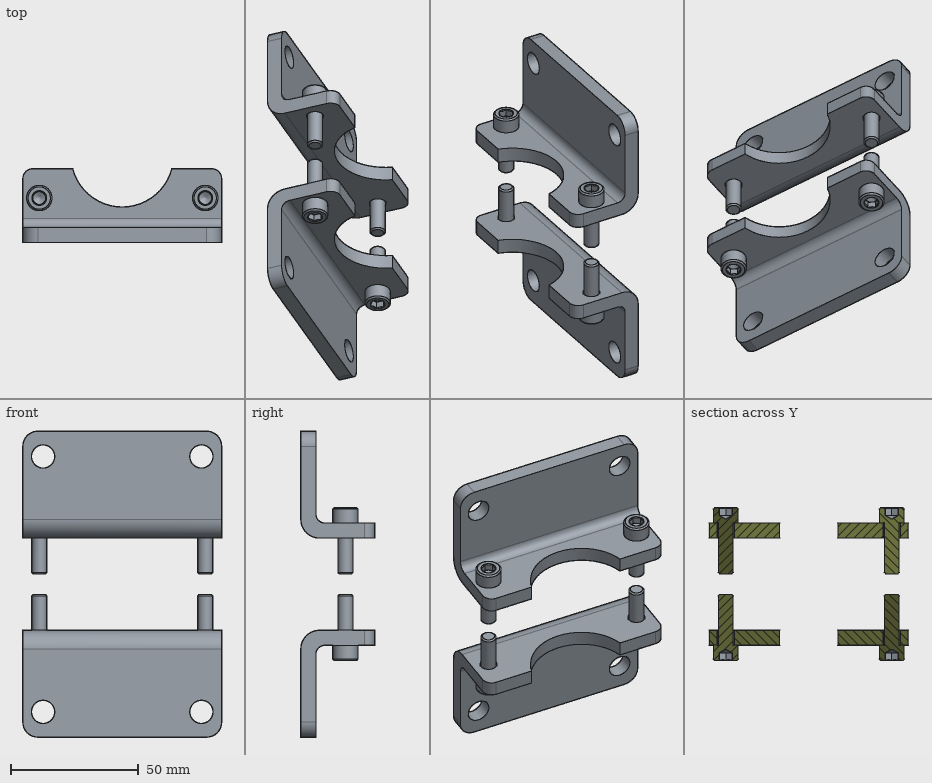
import cadquery as cq
import math

WIDTH = 78.0
DEPTH = 29.0
HEIGHT = 120.0
THICKNESS = 6.0
BRACKET_HEIGHT = 42.0

OUTER_BEND_RADIUS = 7.5
INNER_BEND_RADIUS = 3.5
WALL_CORNER_RADIUS = 6.0
FLANGE_CORNER_RADIUS = 4.0

MOUNT_HOLE_DIAMETER = 9.0
MOUNT_HOLE_SPACING = 62.0
MOUNT_HOLE_TO_EDGE = 10.0

CUTOUT_RADIUS = 20.0
CUTOUT_DEPTH = 15.0

BOLT_SPACING = 65.0
BOLT_TO_BACK = 11.5
CLEARANCE_DIAMETER = 6.6
SHANK_DIAMETER = 6.0
SHANK_LENGTH = 20.0
TIP_CHAMFER = 0.6
HEAD_DIAMETER = 10.0
HEAD_HEIGHT = 6.0
HEAD_CHAMFER = 0.6

SOCKET_SIDES = 6
SOCKET_HALF_ANGLE = 180 / SOCKET_SIDES
SOCKET_FLATS = 5.0
SOCKET_DEPTH = 3.0
SOCKET_CONE_DEPTH = 1.5
COUNTERSINK_DEPTH = 0.42

FLANGE_FACE_Z = HEIGHT / 2 - BRACKET_HEIGHT
HEAD_SEAT_Z = FLANGE_FACE_Z + THICKNESS
MOUNT_HOLE_Z = HEIGHT / 2 - MOUNT_HOLE_TO_EDGE
BOLT_Y = DEPTH - BOLT_TO_BACK
CUTOUT_CENTER_Y = DEPTH - CUTOUT_DEPTH + CUTOUT_RADIUS
BOLT_XS = (-BOLT_SPACING / 2, BOLT_SPACING / 2)
MOUNT_HOLE_XS = (-MOUNT_HOLE_SPACING / 2, MOUNT_HOLE_SPACING / 2)


def make_blank():
    """Bent L-shaped sheet with rounded free corners, wall pointing up."""
    wall = cq.Workplane("XY").box(WIDTH, THICKNESS, BRACKET_HEIGHT, centered=(True, False, False))
    wall = wall.edges("|Y and >Z").fillet(WALL_CORNER_RADIUS)
    flange = cq.Workplane("XY").box(WIDTH, DEPTH, THICKNESS, centered=(True, False, False))
    flange = flange.edges("|Z and >Y").fillet(FLANGE_CORNER_RADIUS)
    blank = wall.union(flange)
    blank = blank.edges("|X and <Y and <Z").fillet(OUTER_BEND_RADIUS)
    inner_corner = cq.selectors.NearestToPointSelector((0, THICKNESS, THICKNESS))
    blank = blank.edges(inner_corner).fillet(INNER_BEND_RADIUS)
    return blank.translate((0, 0, FLANGE_FACE_Z))


def make_bracket():
    """Upper bracket with its mounting holes, bolt clearance holes and cutout."""
    bracket = make_blank()
    for x in MOUNT_HOLE_XS:
        hole = cq.Solid.makeCylinder(
            MOUNT_HOLE_DIAMETER / 2, THICKNESS, cq.Vector(x, 0, MOUNT_HOLE_Z), cq.Vector(0, 1, 0)
        )
        bracket = bracket.cut(cq.Workplane(hole))
    flange_plane = cq.Workplane("XY").workplane(offset=FLANGE_FACE_Z)
    bolt_points = [(x, BOLT_Y) for x in BOLT_XS]
    clearance = flange_plane.pushPoints(bolt_points).circle(CLEARANCE_DIAMETER / 2).extrude(THICKNESS)
    cutout = flange_plane.center(0, CUTOUT_CENTER_Y).circle(CUTOUT_RADIUS).extrude(THICKNESS)
    return bracket.cut(clearance).cut(cutout)


def make_socket():
    """Cutter for the hexagonal socket, with a countersunk mouth and a conical drill point."""
    corner_diameter = SOCKET_FLATS / math.cos(math.radians(SOCKET_HALF_ANGLE))
    corner_radius = corner_diameter / 2
    flat_radius = SOCKET_FLATS / 2
    floor_z = HEAD_HEIGHT - SOCKET_DEPTH
    floor_plane = cq.Workplane("XY").workplane(offset=floor_z)
    hexagon = floor_plane.polygon(SOCKET_SIDES, corner_diameter).extrude(SOCKET_DEPTH)
    hexagon = hexagon.rotate((0, 0, 0), (0, 0, 1), SOCKET_HALF_ANGLE)
    down = cq.Vector(0, 0, -1)
    mouth = cq.Solid.makeCone(
        corner_radius, flat_radius, COUNTERSINK_DEPTH, cq.Vector(0, 0, HEAD_HEIGHT), down
    )
    drill_point = cq.Solid.makeCone(flat_radius, 0, SOCKET_CONE_DEPTH, cq.Vector(0, 0, floor_z), down)
    return hexagon.union(cq.Workplane(mouth)).union(cq.Workplane(drill_point))


def make_bolt(x):
    """Upper socket-head bolt at the given X, with its head on top."""
    head = (
        cq.Workplane("XY")
        .circle(HEAD_DIAMETER / 2)
        .extrude(HEAD_HEIGHT)
        .faces(">Z")
        .chamfer(HEAD_CHAMFER)
    )
    shank = (
        cq.Workplane("XY")
        .circle(SHANK_DIAMETER / 2)
        .extrude(-SHANK_LENGTH)
        .faces("<Z")
        .chamfer(TIP_CHAMFER)
    )
    bolt = head.union(shank).cut(make_socket())
    return bolt.translate((x, BOLT_Y, HEAD_SEAT_Z))


upper_bracket = make_bracket()
lower_bracket = upper_bracket.mirror("XY")
upper_bolts = [make_bolt(x) for x in BOLT_XS]
lower_bolts = [bolt.mirror("XY") for bolt in upper_bolts]

brackets = [upper_bracket, lower_bracket]
bolts = upper_bolts + lower_bolts
result = cq.Compound.makeCompound([body.val() for body in brackets + bolts])